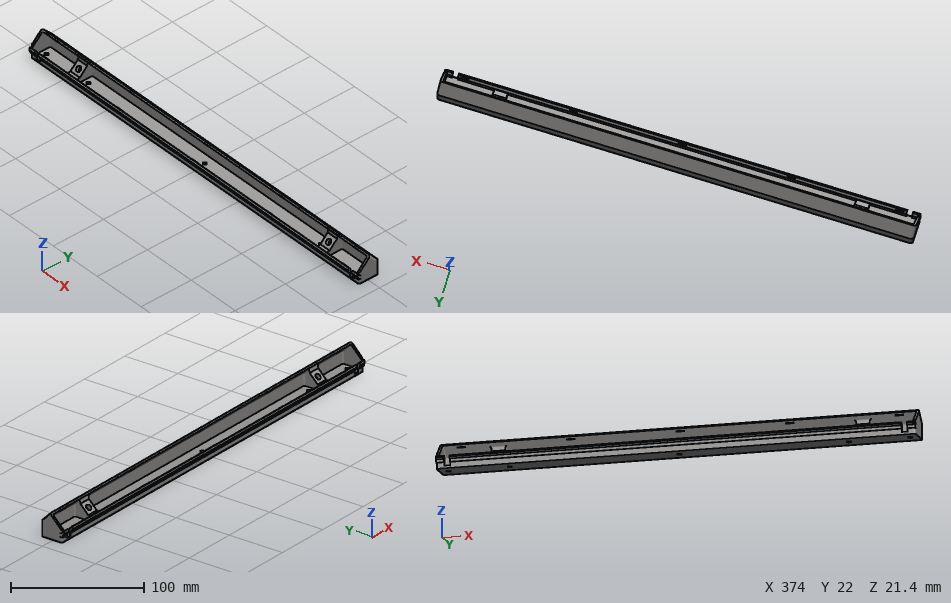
import cadquery as cq
import math

length = 374.0
overall_depth = 22.01
overall_height = 21.41
wall = 2.0
roof_thickness = 1.75
ridge_depth = 8.4
front_depth = 19.8
eave_height = overall_height - ridge_depth
under_roof = eave_height - roof_thickness * math.sqrt(2)
rim_sum = overall_height + ridge_depth
rear_corner_radius = 2.1
front_corner_radius = 1.6
cavity_fillet = 1.3
front_wall = 1.1

lip_tip_height = 8.2
lip_crest_depth = 20.6
lip_crest_height = lip_tip_height + overall_depth - lip_crest_depth
lip_groove_depth = front_depth - front_wall
lip_groove_height = lip_crest_height - (lip_crest_depth - lip_groove_depth)
lip_under_depth = 20.8
lip_under_height = lip_tip_height - (overall_depth - lip_under_depth)
lip_bottom_height = 4.6
skirt_tilt = math.radians(13)
lip_corner_radius = 1.6

notch_x = 178.5
notch_width = 4.5

block_x = 142.3
block_width = 10.6
block_sum = 21.2
block_upper_depth = 7.2
block_lower_depth = 14.6
block_tilt = math.tan(math.radians(10))
screw_hole_diameter = 4.7
screw_hole_length = 4.0
screw_hole_depth = 11.1

floor_hole_diameter = 3.2
floor_hole_depth = 10.0
floor_hole_places = (-180.2, -132.4, 0.0, 132.4, 180.2)

nub_spacing = 85.5
nub_count = 5
nub_length = 6.0
nub_radius = 0.3
roof_nub_depth = 8.0
lip_nub_depth = 19.6


def extrude_section(points, width, x_center=0.0):
    """Solid with a (depth, height) outline, centred on x_center along X."""
    outline = [(-depth, height) for depth, height in points]
    section = cq.Workplane("YZ", origin=(x_center - width / 2, 0, 0))
    return section.polyline(outline).close().extrude(width)


def make_body():
    body = extrude_section(
        [
            (0, 0),
            (front_depth, 0),
            (front_depth, rim_sum - front_depth),
            (ridge_depth, overall_height),
            (0, eave_height),
        ],
        length,
    )
    roof_box = (
        (-length, -ridge_depth + wall, eave_height + wall),
        (length, 0, overall_height),
    )
    roof_ends = body.faces("<X or >X").edges(cq.selectors.BoxSelector(*roof_box))
    rear_ends = body.faces(">Y").edges("|Z")
    body = rear_ends.add(roof_ends).fillet(rear_corner_radius)
    front_edges = body.faces("<Y").edges("|Z")
    return front_edges.fillet(front_corner_radius)


def is_filleted_corner(point):
    """True for edges on the back wall or roof underside, save those at the floor and rim."""
    depth = -point.y
    tolerance = 0.01
    on_floor = point.z < wall + tolerance
    on_back_wall = abs(depth - wall) < tolerance
    on_roof = abs(point.z - depth - under_roof) < tolerance
    rim_gap = rim_sum - depth - point.z
    return (on_back_wall or on_roof) and not on_floor and rim_gap > tolerance


def make_cavity():
    """Space inside the walls, reaching out through the open face."""
    reach = 6.0
    inner_rim_depth = (rim_sum - under_roof) / 2
    cavity = extrude_section(
        [
            (wall, wall),
            (lip_groove_depth, wall),
            (lip_groove_depth, lip_groove_height),
            (lip_crest_depth + reach, lip_crest_height + reach),
            (inner_rim_depth + reach, inner_rim_depth + under_roof + reach),
            (wall, wall + under_roof),
        ],
        length - 2 * wall,
    )
    for side in (-1, 1):
        cavity = cavity.cut(make_block(side * block_x))
    corners = [edge for edge in cavity.edges().vals() if is_filleted_corner(edge.Center())]
    return cavity.newObject(corners).fillet(cavity_fillet)


def make_lip():
    skirt_inset = (lip_under_height - lip_bottom_height) * math.tan(skirt_tilt)
    root_depth = lip_groove_depth - wall
    lip = extrude_section(
        [
            (root_depth, lip_groove_height),
            (lip_groove_depth, lip_groove_height),
            (lip_crest_depth, lip_crest_height),
            (overall_depth, lip_tip_height),
            (lip_under_depth, lip_under_height),
            (lip_under_depth - skirt_inset, lip_bottom_height),
            (root_depth, lip_bottom_height),
        ],
        length,
    )
    plan = cq.Workplane("XY").box(
        length, 2 * overall_depth, overall_height, centered=(True, True, False)
    )
    plan = plan.edges("|Z and <Y").fillet(lip_corner_radius)
    return lip.intersect(plan)


def make_block(x):
    """Block between roof, back wall, floor and front wall, with an angled screw face."""
    upper_height = block_sum - block_upper_depth
    lower_height = block_sum - block_lower_depth
    roof_inside = eave_height - roof_thickness / 2
    steep_depth = (upper_height + block_upper_depth / block_tilt - roof_inside) / (1 + 1 / block_tilt)
    wall_middle = front_depth - front_wall / 2
    block = extrude_section(
        [
            (wall / 2, wall / 2),
            (wall_middle, wall / 2),
            (wall_middle, lower_height - (wall_middle - block_lower_depth) * block_tilt),
            (block_lower_depth, lower_height),
            (block_upper_depth, upper_height),
            (steep_depth, steep_depth + roof_inside),
            (wall / 2, wall / 2 + roof_inside),
        ],
        block_width,
        x,
    )
    hole_mouth = (x, -screw_hole_depth, block_sum - screw_hole_depth)
    face = cq.Plane(origin=hole_mouth, xDir=(1, 0, 0), normal=(0, -1, 1))
    hole = cq.Workplane(face).circle(screw_hole_diameter / 2).extrude(-screw_hole_length)
    return block.cut(hole)


def make_notch(x):
    notch = cq.Workplane("XY").box(
        notch_width, overall_depth, overall_height, centered=(True, False, False)
    )
    return notch.translate((x, wall - front_depth - overall_depth, wall))


def make_nub(x, depth, height):
    nub = cq.Workplane("YZ", origin=(x - nub_length / 2, -depth, height))
    return nub.circle(nub_radius).extrude(nub_length)


result = make_body().union(make_lip()).cut(make_cavity())

for side in (-1, 1):
    result = result.union(make_block(side * block_x)).cut(make_notch(side * notch_x))

for x in floor_hole_places:
    hole = cq.Workplane("XY").center(x, -floor_hole_depth).circle(floor_hole_diameter / 2)
    result = result.cut(hole.extrude(wall))

roof_nub_height = roof_nub_depth + under_roof
lip_nub_height = lip_groove_height + lip_nub_depth - lip_groove_depth
for index in range(nub_count):
    x = (index - (nub_count - 1) / 2) * nub_spacing
    result = result.union(make_nub(x, roof_nub_depth, roof_nub_height))
    result = result.union(make_nub(x, lip_nub_depth, lip_nub_height))

result = result.translate((0, overall_depth / 2, 0))